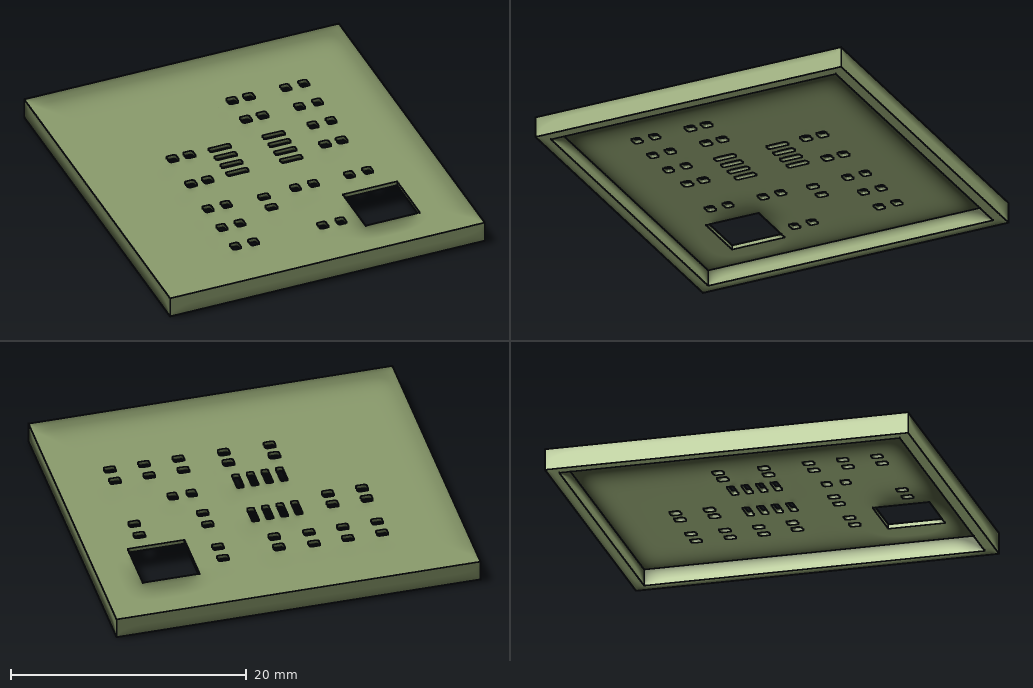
import cadquery as cq

plate_length = 32.0
plate_width = 29.0
plate_height = 1.9
sheet_thickness = 0.4
rim_width = 1.0

window_side = 5.0
window_center = (10.0, 7.5)

pad_across = 0.95
wide_pair = {"along": 0.8, "spacing": 1.65, "radius": 0.2}
close_pair = {"along": 0.9, "spacing": 1.55, "radius": 0.22}

upper_row = 7.5
middle_row = 2.5
lower_row = -5.5
lower_right_row = -5.55

wide_pair_centers = [
    (-9.0, upper_row),
    (-6.0, upper_row),
    (-3.0, upper_row),
    (5.0, upper_row),
    (5.0, middle_row),
    (11.0, middle_row),
    (5.0, lower_right_row),
    (8.0, lower_right_row),
    (11.0, lower_right_row),
]
close_pair_centers = [
    (0.0, 7.25),
    (-9.0, middle_row),
    (-6.0, middle_row),
    (-3.0, lower_row),
    (1.02, lower_row),
]
sideways_pair_center = (6.0, -1.3)

slot_width = 0.6
slot_length = 1.95
slot_radius = 0.15
slots_per_row = 4
slot_pitch = 1.28
slot_row_spacing = 4.95
slot_group_center = (-1.0, 0.5)


def opening(x, y, size_x, size_y, radius):
    """Rounded rectangular cutter through the full height, centred on (x, y)."""
    cutter = cq.Workplane("XY").rect(size_x, size_y).extrude(plate_height)
    return cutter.edges("|Z").fillet(radius).translate((x, y, 0))


def upright_pair(center, pair):
    """Two openings, one above the other along Y."""
    x, y = center
    half = pair["spacing"] / 2
    return [opening(x, y + dy, pad_across, pair["along"], pair["radius"]) for dy in (-half, half)]


def sideways_pair(center, pair):
    """Two openings side by side along X."""
    x, y = center
    half = pair["spacing"] / 2
    return [opening(x + dx, y, pair["along"], pad_across, pair["radius"]) for dx in (-half, half)]


def slot_group():
    """Two parallel rows of slots about the group centre."""
    x, y = slot_group_center
    slots = []
    for dy in (-slot_row_spacing / 2, slot_row_spacing / 2):
        for index in range(slots_per_row):
            dx = (index - (slots_per_row - 1) / 2) * slot_pitch
            slots.append(opening(x + dx, y + dy, slot_width, slot_length, slot_radius))
    return slots


body = cq.Workplane("XY").rect(plate_length, plate_width).extrude(plate_height)
recess_depth = plate_height - sheet_thickness
recess = (
    cq.Workplane("XY")
    .rect(plate_length - 2 * rim_width, plate_width - 2 * rim_width)
    .extrude(recess_depth)
)
window = (
    cq.Workplane("XY")
    .center(*window_center)
    .rect(window_side, window_side)
    .extrude(plate_height)
)
result = body.cut(recess).cut(window)

openings = slot_group() + sideways_pair(sideways_pair_center, wide_pair)
for center in wide_pair_centers:
    openings += upright_pair(center, wide_pair)
for center in close_pair_centers:
    openings += upright_pair(center, close_pair)
for cutter in openings:
    result = result.cut(cutter)